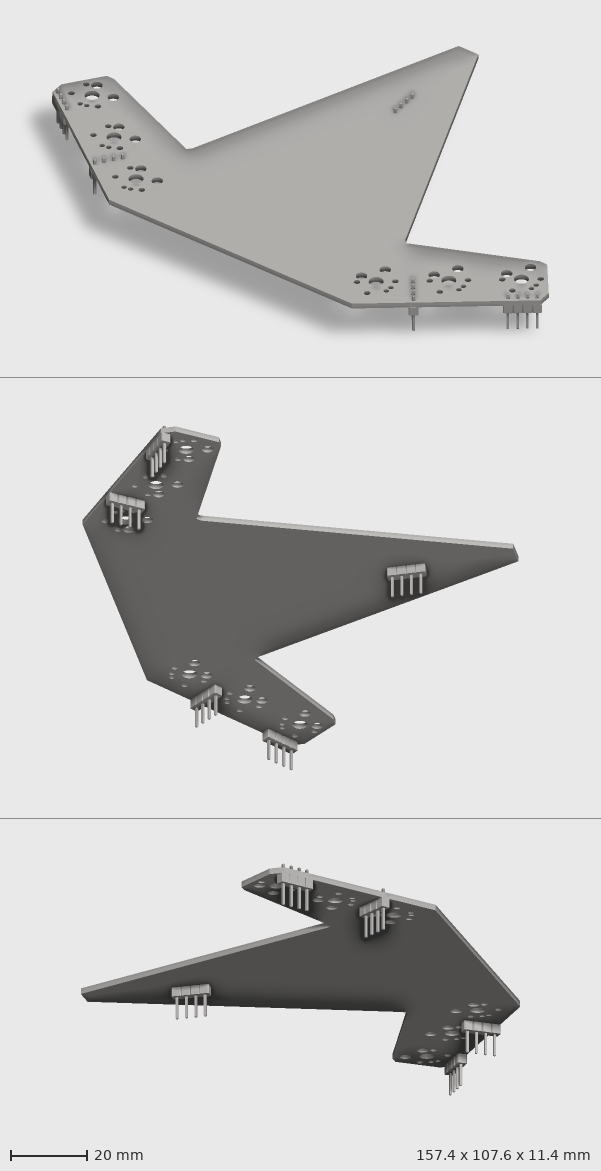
import cadquery as cq
import math

BOARD_THICKNESS = 1.5
FRONT_EDGE_HALF = 39.0
BOARD_HALF_WIDTH = 78.3
WING_TIP_FRONT_Y = 29.7
WING_TIP_BACK_Y = 33.7
WING_CREST_Y = 43.5
WING_CREST_OUTER_X = 70.8
WING_CREST_INNER_X = 68.4
NOTCH_OUTER = (35.4, 29.7)
NOTCH_INNER = (34.3, 30.7)
TAIL_HALF_WIDTH = 3.1
TAIL_Y = 107.6

WING_ANGLE = 37.0

SWITCHES_PER_WING = 3
SWITCH_SPACING = 19.0
MIDDLE_SWITCH = (53.8, 23.0)

CENTRE_HOLE_DIAMETER = 4.0
SOCKET_HOLE_DIAMETER = 3.0
SOCKET_HOLES = [(-3.8, 2.5), (2.5, 5.0)]
GUIDE_HOLE_DIAMETER = 1.7
GUIDE_OFFSET = 5.0
GUIDE_HOLES = [(-GUIDE_OFFSET, 0), (GUIDE_OFFSET, 0)]
SINGLE_PIN_HOLE_DIAMETER = 1.7
SINGLE_PIN_HOLE = (-2.5, -4.9)
PAIRED_PIN_HOLE_DIAMETER = 1.46
PAIRED_PIN_HOLES = [(2.5, -4.1), (3.8, -2.7)]

PINS_PER_HEADER = 4
HEADER_LENGTH = 10.2
PIN_PITCH = HEADER_LENGTH / PINS_PER_HEADER
STRIP_HEIGHT = 2.5
STRIP_CHAMFER = 0.25
PIN_WIDTH = 0.65
PIN_TIP_CHAMFER = PIN_WIDTH / 4
PIN_ABOVE_BOARD = 1.4
PIN_BELOW_STRIP = 6.0
HEADER_HOLE_DIAMETER = 1.0

TAIL_HEADER_Y = 78.3
TIP_HEADER = (74.0, 28.0)
INNER_HEADER = (48.9, 13.7)

HEADER_PLACES = [(0, TAIL_HEADER_Y, 90)]
for side in (-1, 1):
    HEADER_PLACES.append((side * TIP_HEADER[0], TIP_HEADER[1], side * WING_ANGLE))
    HEADER_PLACES.append((side * INNER_HEADER[0], INNER_HEADER[1], side * (WING_ANGLE + 90)))


def placed(offset, x, y, angle):
    """Turn an offset by an angle in degrees and move it to (x, y)."""
    c = math.cos(math.radians(angle))
    s = math.sin(math.radians(angle))
    return (x + offset[0] * c - offset[1] * s, y + offset[0] * s + offset[1] * c)


def pin_offsets():
    """Pin centres along a header that is centred on the origin, row along X."""
    first = -(PINS_PER_HEADER - 1) / 2
    return [((first + i) * PIN_PITCH, 0) for i in range(PINS_PER_HEADER)]


def drill(board, points, diameter):
    """Drill through holes in the board."""
    drills = cq.Workplane("XY").pushPoints(points).circle(diameter / 2).extrude(BOARD_THICKNESS)
    return board.cut(drills)


def board_blank():
    """Flat plate with two swept wings and a long tail, without holes."""
    right_half = [
        (FRONT_EDGE_HALF, 0),
        (BOARD_HALF_WIDTH, WING_TIP_FRONT_Y),
        (BOARD_HALF_WIDTH, WING_TIP_BACK_Y),
        (WING_CREST_OUTER_X, WING_CREST_Y),
        (WING_CREST_INNER_X, WING_CREST_Y),
        NOTCH_OUTER,
        NOTCH_INNER,
        (TAIL_HALF_WIDTH, TAIL_Y),
    ]
    left_half = [(-x, y) for x, y in reversed(right_half)]
    return cq.Workplane("XY").polyline(right_half + left_half).close().extrude(BOARD_THICKNESS)


def switch_places():
    """X, Y and rotation of every key switch."""
    places = []
    for side in (-1, 1):
        angle = side * WING_ANGLE
        for i in range(SWITCHES_PER_WING):
            along = (i - (SWITCHES_PER_WING - 1) / 2) * SWITCH_SPACING
            x, y = placed((along, 0), side * MIDDLE_SWITCH[0], MIDDLE_SWITCH[1], angle)
            places.append((x, y, angle))
    return places


def make_board():
    """Plate with the switch holes and the header pin holes."""
    board = board_blank()
    switch_pattern = [
        ([(0, 0)], CENTRE_HOLE_DIAMETER),
        (SOCKET_HOLES, SOCKET_HOLE_DIAMETER),
        (GUIDE_HOLES, GUIDE_HOLE_DIAMETER),
        ([SINGLE_PIN_HOLE], SINGLE_PIN_HOLE_DIAMETER),
        (PAIRED_PIN_HOLES, PAIRED_PIN_HOLE_DIAMETER),
    ]
    for offsets, diameter in switch_pattern:
        points = [placed(offset, *place) for place in switch_places() for offset in offsets]
        board = drill(board, points, diameter)
    header_points = [placed(offset, *place) for place in HEADER_PLACES for offset in pin_offsets()]
    return drill(board, header_points, HEADER_HOLE_DIAMETER)


def make_header(x, y, angle):
    """One header: strip of chamfered square cells with a pin through each, as one solid."""
    strip_bottom = -STRIP_HEIGHT
    pin_bottom = strip_bottom - PIN_BELOW_STRIP
    pin_length = BOARD_THICKNESS + PIN_ABOVE_BOARD - pin_bottom
    cell = (
        cq.Workplane("XY", origin=(0, 0, strip_bottom))
        .rect(PIN_PITCH, PIN_PITCH)
        .extrude(STRIP_HEIGHT)
        .edges("|Z")
        .chamfer(STRIP_CHAMFER)
    )
    pin = (
        cq.Workplane("XY", origin=(0, 0, pin_bottom))
        .rect(PIN_WIDTH, PIN_WIDTH)
        .extrude(pin_length)
        .faces("<Z or >Z")
        .chamfer(PIN_TIP_CHAMFER)
    )
    cell_with_pin = cell.union(pin)
    header = cq.Workplane("XY")
    for offset_x, offset_y in pin_offsets():
        header = header.union(cell_with_pin.translate((offset_x, offset_y, 0)))
    return header.rotate((0, 0, 0), (0, 0, 1), angle).translate((x, y, 0))


board = make_board()
headers = [make_header(*place) for place in HEADER_PLACES]

result = cq.Compound.makeCompound([board.val(), *[header.val() for header in headers]])